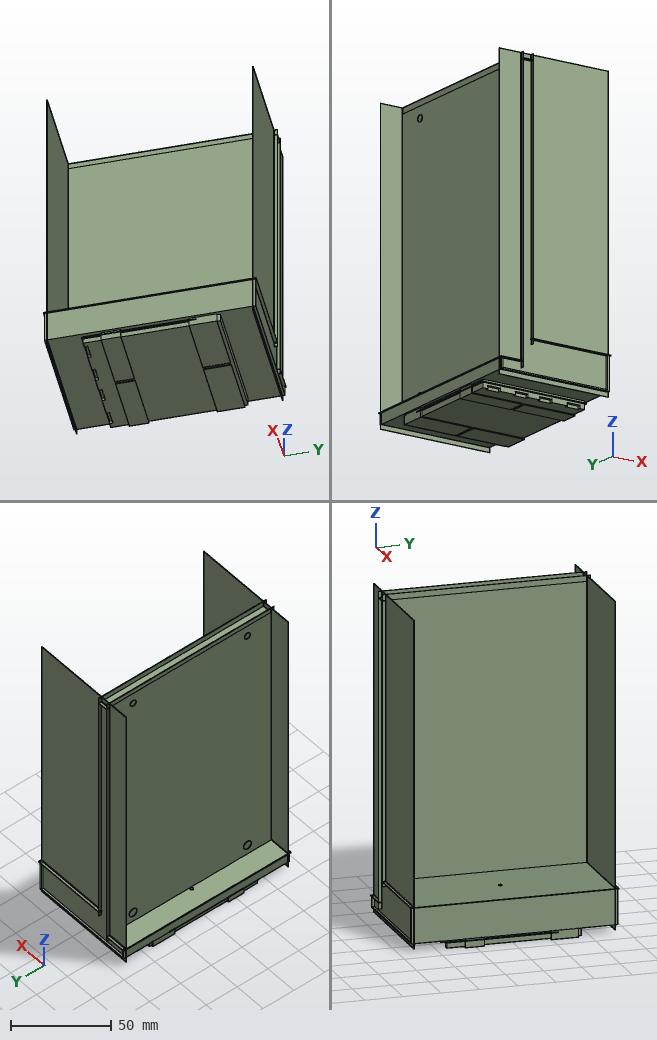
import cadquery as cq

LENGTH_X = 66.1
WIDTH_Y = 108.8
HEIGHT_Z = 173.5
SHEET = 0.3

SIDE_SHEET_SPACING = 105.5
SIDE_SHEET_REAR_GAP = 0.5
SIDE_SHEET_BOTTOM = 2.5

PANEL_FRONT = -20.0
PANEL_REAR = -13.5
PANEL_TOP = HEIGHT_Z - 3.1
FRONT_SHEET_BOTTOM = 8.0
REAR_SHEET_BOTTOM = 21.3

TRAY_BOTTOM = 5.0
TRAY_FRONT = -32.5
TRAY_REAR = 32.5
FRONT_TRAY_TOP = 11.5
REAR_TRAY_TOP = 24.1
END_PLATE_WIDTH = 108.0
FRONT_PLATE = 0.7
REAR_PLATE = 1.2
BOTTOM_PLATE = 0.7
REAR_LID_OVERLAP = 0.7

HOLE_Y = 37.1
UPPER_HOLE_Z = 163.8
UPPER_HOLE_DIAMETER = 3.8
LOWER_HOLE_Z = 17.4
LOWER_HOLE_DIAMETER = 5.0
HOLE_DEPTH = SHEET

FRONT_PIN_X = -21.0
REAR_PIN_X = 9.4
PIN_HOLE_DIAMETER = 1.7

CLIP_OUTER_X = 31.2
CLIP_GAP = 1.4
CLIP_BAR_INSET = 0.7
CLIP_BAR_Y = (-34.7, 35.5)
CLIP_BOTTOM = 0.5
FEET_Y = ((-25.3, -15.3), (19.6, 33.8))
CLIP_LEDGE_Z = 3.8
CLIP_LEDGE_OVERHANG = 0.2
CLIP_LEDGE_Y = (-35.2, 23.3)
CLIP_NOTCHES_X = (-24.0, -7.3, 7.3, 24.0)
CLIP_NOTCH_WIDTH = 7.5
CLIP_NOTCH_DEPTH = 1.7
CLIP_NOTCH_TOP = 2.3


def block(x_range, y_range, z_range):
    """Axis-aligned box between the given limits."""
    sizes = [high - low for low, high in (x_range, y_range, z_range)]
    corner = (x_range[0], y_range[0], z_range[0])
    return cq.Workplane("XY").box(*sizes, centered=False).translate(corner)


def centred_block(x_range, width, z_range):
    """Box symmetric about the XZ plane."""
    return block(x_range, (-width / 2, width / 2), z_range)


def tray():
    """Stepped tray with lids and plates that stand proud of its sides."""
    low = centred_block(
        (TRAY_FRONT, PANEL_REAR), SIDE_SHEET_SPACING, (TRAY_BOTTOM, FRONT_TRAY_TOP)
    )
    high = centred_block(
        (PANEL_REAR, TRAY_REAR), SIDE_SHEET_SPACING, (TRAY_BOTTOM, REAR_TRAY_TOP)
    )
    front_lid = centred_block(
        (-LENGTH_X / 2, PANEL_FRONT), WIDTH_Y, (FRONT_TRAY_TOP - SHEET, FRONT_TRAY_TOP)
    )
    rear_lid = centred_block(
        (PANEL_REAR - REAR_LID_OVERLAP, LENGTH_X / 2),
        WIDTH_Y,
        (REAR_TRAY_TOP - SHEET, REAR_TRAY_TOP),
    )
    front_plate = centred_block(
        (TRAY_FRONT, TRAY_FRONT + FRONT_PLATE), END_PLATE_WIDTH, (TRAY_BOTTOM, FRONT_TRAY_TOP)
    )
    rear_plate = centred_block(
        (TRAY_REAR - REAR_PLATE, TRAY_REAR),
        END_PLATE_WIDTH,
        (TRAY_BOTTOM, REAR_TRAY_TOP),
    )
    bottom_plate = centred_block(
        (TRAY_FRONT, TRAY_REAR), END_PLATE_WIDTH, (TRAY_BOTTOM, TRAY_BOTTOM + BOTTOM_PLATE)
    )
    body = low.union(high)
    for part in (front_lid, rear_lid, front_plate, rear_plate, bottom_plate):
        body = body.union(part)
    return body


def panel():
    """Upright panel whose front, rear and top sheets stand proud of its sides."""
    core = centred_block(
        (PANEL_FRONT, PANEL_REAR), SIDE_SHEET_SPACING, (TRAY_BOTTOM, PANEL_TOP)
    )
    front = centred_block(
        (PANEL_FRONT, PANEL_FRONT + SHEET), WIDTH_Y, (FRONT_SHEET_BOTTOM, HEIGHT_Z)
    )
    rear = centred_block(
        (PANEL_REAR - SHEET, PANEL_REAR), WIDTH_Y, (REAR_SHEET_BOTTOM, HEIGHT_Z)
    )
    top = centred_block((PANEL_FRONT, PANEL_REAR), WIDTH_Y, (PANEL_TOP - SHEET, PANEL_TOP))
    return core.union(front).union(rear).union(top)


def side_sheets():
    """Two full-height sheets along the sides of the tray and the panel."""
    x_range = (-LENGTH_X / 2, LENGTH_X / 2 - SIDE_SHEET_REAR_GAP)
    z_range = (SIDE_SHEET_BOTTOM, HEIGHT_Z)
    outer_y = SIDE_SHEET_SPACING / 2
    sheet = block(x_range, (outer_y - SHEET, outer_y), z_range)
    return sheet.union(sheet.mirror("XZ"))


def rail_clips():
    """Shared bar with a ledge, a notched end and two rows of feet."""
    bar_x = CLIP_OUTER_X - CLIP_BAR_INSET
    clips = block((-bar_x, bar_x), CLIP_BAR_Y, (CLIP_BOTTOM, TRAY_BOTTOM))
    ledge_x = CLIP_OUTER_X + CLIP_LEDGE_OVERHANG
    ledge = block((-ledge_x, ledge_x), CLIP_LEDGE_Y, (CLIP_LEDGE_Z - SHEET, CLIP_LEDGE_Z))
    clips = clips.union(ledge)
    for notch_x in CLIP_NOTCHES_X:
        notch = block(
            (notch_x - CLIP_NOTCH_WIDTH / 2, notch_x + CLIP_NOTCH_WIDTH / 2),
            (CLIP_BAR_Y[0], CLIP_BAR_Y[0] + CLIP_NOTCH_DEPTH),
            (CLIP_BOTTOM, CLIP_NOTCH_TOP),
        )
        clips = clips.cut(notch)
    for foot_x in ((-CLIP_OUTER_X, -CLIP_GAP / 2), (CLIP_GAP / 2, CLIP_OUTER_X)):
        for foot_y in FEET_Y:
            clips = clips.union(block(foot_x, foot_y, (0, TRAY_BOTTOM)))
    return clips


def mounting_holes():
    """Four blind holes drilled into the front of the panel."""
    drills = cq.Workplane("XY")
    for z, diameter in (
        (UPPER_HOLE_Z, UPPER_HOLE_DIAMETER),
        (LOWER_HOLE_Z, LOWER_HOLE_DIAMETER),
    ):
        row = (
            cq.Workplane("YZ", origin=(PANEL_FRONT, 0, 0))
            .pushPoints([(-HOLE_Y, z), (HOLE_Y, z)])
            .circle(diameter / 2)
            .extrude(HOLE_DEPTH)
        )
        drills = drills.add(row)
    return drills.combine()


def pin_hole(x, top):
    """Blind hole drilled down into a tray top."""
    return (
        cq.Workplane("XY", origin=(x, 0, top))
        .circle(PIN_HOLE_DIAMETER / 2)
        .extrude(-HOLE_DEPTH)
    )


result = tray().union(panel()).union(side_sheets())
result = result.union(rail_clips())
result = result.cut(mounting_holes())
result = result.cut(pin_hole(FRONT_PIN_X, FRONT_TRAY_TOP))
result = result.cut(pin_hole(REAR_PIN_X, REAR_TRAY_TOP))